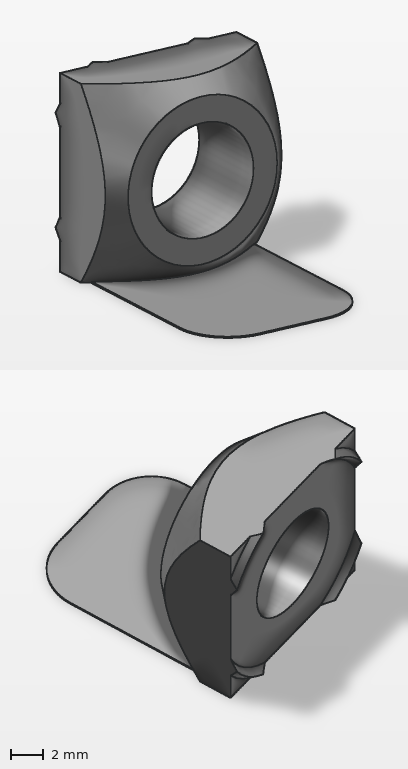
import cadquery as cq

total_length = 16.5
block_side = 13.0
block_length = 6.5
hole_diameter = 7.5
far_face_radius = 5.5

ridge_height = 0.5
ridge_inner_radius = 7.11
ridge_crest_radius = 7.5
ridge_outer_radius = 7.87

tab_width = 12.0
tab_thickness = 0.1
tab_corner_radius = 3.5

half_side = block_side / 2
tab_start = block_length / 2


def revolve_about_x(points):
    """Revolve an (x, radius) outline about the X axis."""
    return cq.Workplane("XY").polyline(points).close().revolve(360, (0, 0, 0), (1, 0, 0))


def make_block():
    """Square block with a coned far end and a ridge ring cut off by its sides."""
    cone_base_radius = far_face_radius + block_length - ridge_height
    turned = revolve_about_x([
        (ridge_height, 0),
        (ridge_height, ridge_inner_radius),
        (0, ridge_crest_radius),
        (ridge_height, ridge_outer_radius),
        (ridge_height, cone_base_radius),
        (block_length, far_face_radius),
        (block_length, 0),
    ])
    square = cq.Workplane("XY").box(block_length, block_side, block_side, centered=(False, True, True))
    return turned.intersect(square)


def make_tab():
    """Thin tab level with the bottom of the block, rounded at its free end."""
    tab = cq.Workplane("XY").box(
        total_length - tab_start, tab_width, tab_thickness, centered=(False, True, False)
    )
    tab = tab.edges("|Z and >X").fillet(tab_corner_radius)
    return tab.translate((tab_start, 0, -half_side))


def make_hole():
    """Round hole through the block along X."""
    return cq.Workplane("YZ").circle(hole_diameter / 2).extrude(block_length)


result = make_block().union(make_tab()).cut(make_hole())